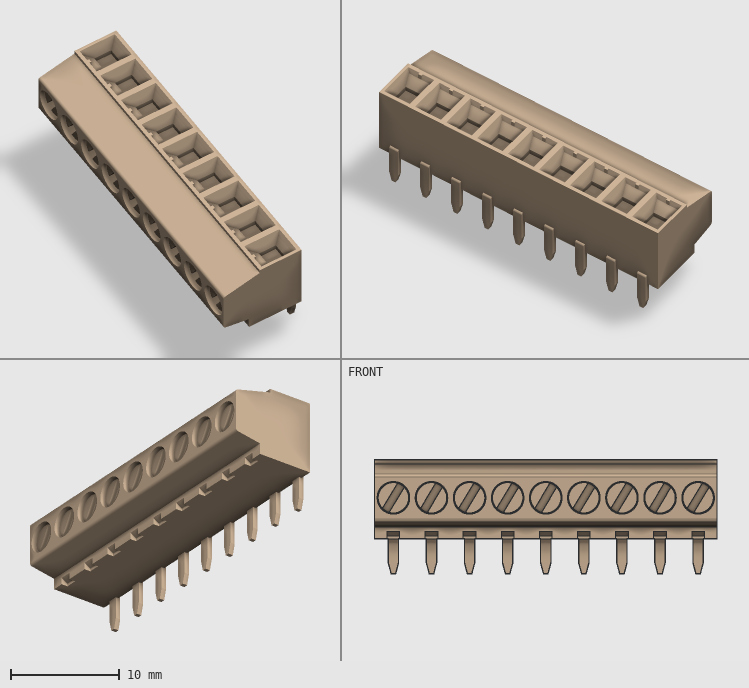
import cadquery as cq
import math


POLES = 9
LENGTH = 31.5
PITCH = LENGTH / POLES
POLE_CENTRES = [(pole - (POLES - 1) / 2) * PITCH for pole in range(POLES)]

TOTAL_DEPTH = 8.7
TOTAL_HEIGHT = 10.5
PIN_STANDOFF = 0.2
PIN_LENGTH = 3.2
BODY_DEPTH = TOTAL_DEPTH - PIN_STANDOFF
BODY_HEIGHT = TOTAL_HEIGHT - PIN_LENGTH
TOP_DECK_DEPTH = 4.57
TOP_STEP = 0.38
NOSE_TOP = 5.9
NOSE_BOTTOM = 1.58
BASE_DEPTH = 5.73
BASE_STEP_HEIGHT = 1.1
NOSE_FILLET = 0.28

FUNNEL_MOUTH_WIDTH = 2.9
FUNNEL_THROAT_WIDTH = 1.73
FUNNEL_MOUTH_REAR = 0.38
FUNNEL_MOUTH_FRONT = 4.2
FUNNEL_BREAK_REAR = 0.65
FUNNEL_BREAK_FRONT = 3.97
FUNNEL_THROAT_REAR = 1.13
FUNNEL_THROAT_FRONT = 2.95
FUNNEL_BREAK_DEPTH = 0.5
FUNNEL_DEPTH = 1.23
SHAFT_DEPTH = 0.5
RIB_WIDTH = 0.38

SCREW_HEIGHT = 3.78
SCREW_HOLE_DIAMETER = 3.0
SCREW_HEAD_DIAMETER = 2.8
SCREW_RECESS = 0.5
HEAD_THICKNESS = 1.0
SCREW_SLOT_WIDTH = 0.72
SCREW_SLOT_DEPTH = 0.72
SCREW_SLOT_ANGLE = 59.0

PIN_WIDTH = 0.98
PIN_THICKNESS = 0.5
PIN_TOP = 1.05
PIN_TIP_LENGTH = 1.05
PIN_TIP_TAPER = 15.0

NOTCH_WIDTH = 1.15
NOTCH_WALL_HEIGHT = 0.28
NOTCH_HEIGHT = 0.65
NOTCH_SLOPE = 60.0


def make_housing():
    """Extrude the stepped side profile and round the two edges of the screw face."""
    deck_front = BODY_DEPTH - TOP_DECK_DEPTH
    base_front = BODY_DEPTH - BASE_DEPTH
    profile = [
        (BODY_DEPTH, 0),
        (BODY_DEPTH, BODY_HEIGHT),
        (deck_front, BODY_HEIGHT),
        (deck_front, BODY_HEIGHT - TOP_STEP),
        (0, NOSE_TOP),
        (0, NOSE_BOTTOM),
        (base_front, BASE_STEP_HEIGHT),
        (base_front, 0),
    ]
    housing = cq.Workplane("YZ").polyline(profile).close().extrude(LENGTH / 2, both=True)
    return housing.faces("<Y").edges("|X").fillet(NOSE_FILLET)


def funnel_width(depth):
    """Width of the funnel at a depth below the top deck; its sides are flat."""
    return FUNNEL_MOUTH_WIDTH - (FUNNEL_MOUTH_WIDTH - FUNNEL_THROAT_WIDTH) * depth / FUNNEL_DEPTH


def funnel_stage(start, end):
    """Tapered stage between two levels, each given as (depth, rear setback, front setback)."""
    wires = []
    for depth, rear, front in (start, end):
        centre = (0, BODY_DEPTH - (rear + front) / 2, BODY_HEIGHT - depth)
        level = cq.Workplane("XY", origin=centre)
        wires.append(level.rect(funnel_width(depth), front - rear).wires().val())
    return cq.Workplane(cq.Solid.makeLoft(wires, True))


def block(width, length, height, front_setback, top_depth):
    """Box centred on X, placed by its front setback from the rear face and its top depth."""
    bottom = BODY_HEIGHT - top_depth - height
    corner = (0, BODY_DEPTH - front_setback, bottom)
    return cq.Workplane("XY", origin=corner).box(width, length, height, centered=(True, False, False))


def make_funnel():
    """Two tapered stages over a straight shaft, with a rib left standing on the front wall."""
    mouth = (0, FUNNEL_MOUTH_REAR, FUNNEL_MOUTH_FRONT)
    wall_break = (FUNNEL_BREAK_DEPTH, FUNNEL_BREAK_REAR, FUNNEL_BREAK_FRONT)
    throat = (FUNNEL_DEPTH, FUNNEL_THROAT_REAR, FUNNEL_THROAT_FRONT)
    throat_size = FUNNEL_THROAT_FRONT - FUNNEL_THROAT_REAR
    shaft = block(FUNNEL_THROAT_WIDTH, throat_size, SHAFT_DEPTH, FUNNEL_THROAT_FRONT, FUNNEL_DEPTH)
    rib_size = FUNNEL_MOUTH_FRONT - FUNNEL_BREAK_FRONT
    rib = block(RIB_WIDTH, rib_size, FUNNEL_BREAK_DEPTH, FUNNEL_MOUTH_FRONT, 0)
    funnel = funnel_stage(mouth, wall_break).cut(rib)
    return funnel.union(funnel_stage(wall_break, throat)).union(shaft)


def make_screw_cavity():
    """Round hole in the screw face, less the slotted screw head that stands on its floor."""
    hole_depth = SCREW_RECESS + HEAD_THICKNESS
    face = cq.Workplane("XZ", origin=(0, 0, SCREW_HEIGHT))
    hole = face.circle(SCREW_HOLE_DIAMETER / 2).extrude(-hole_depth)
    head = face.workplane(offset=-SCREW_RECESS).circle(SCREW_HEAD_DIAMETER / 2).extrude(-HEAD_THICKNESS)
    slot = (
        face.workplane(offset=-SCREW_RECESS)
        .transformed(rotate=(0, 0, SCREW_SLOT_ANGLE))
        .rect(SCREW_HOLE_DIAMETER, SCREW_SLOT_WIDTH)
        .extrude(-SCREW_SLOT_DEPTH)
    )
    return hole.cut(head.cut(slot))


def make_notch():
    """Notch in the lower front edge of the base, with a sloping roof."""
    front = BODY_DEPTH - BASE_DEPTH
    depth = (NOTCH_HEIGHT - NOTCH_WALL_HEIGHT) * math.tan(math.radians(NOTCH_SLOPE))
    profile = [
        (front, 0),
        (front + depth, 0),
        (front + depth, NOTCH_WALL_HEIGHT),
        (front, NOTCH_HEIGHT),
    ]
    return cq.Workplane("YZ").polyline(profile).close().extrude(NOTCH_WIDTH / 2, both=True)


def make_pin():
    """Flat pin with a tapered tip, set into the rear face and rounded at its upper rear edge."""
    half_width = PIN_WIDTH / 2
    half_tip = half_width - PIN_TIP_LENGTH * math.tan(math.radians(PIN_TIP_TAPER))
    tip_start = PIN_TIP_LENGTH - PIN_LENGTH
    outline = [
        (-half_width, PIN_TOP),
        (half_width, PIN_TOP),
        (half_width, tip_start),
        (half_tip, -PIN_LENGTH),
        (-half_tip, -PIN_LENGTH),
        (-half_width, tip_start),
    ]
    pin = cq.Workplane("XZ", origin=(0, TOTAL_DEPTH, 0)).polyline(outline).close().extrude(PIN_THICKNESS)
    return pin.faces(">Z").edges(">Y").fillet(PIN_STANDOFF)


cavities = [make_funnel(), make_screw_cavity(), make_notch()]
pin = make_pin()

result = make_housing()
for x in POLE_CENTRES:
    for cavity in cavities:
        result = result.cut(cavity.translate((x, 0, 0)))
    result = result.union(pin.translate((x, 0, 0)))